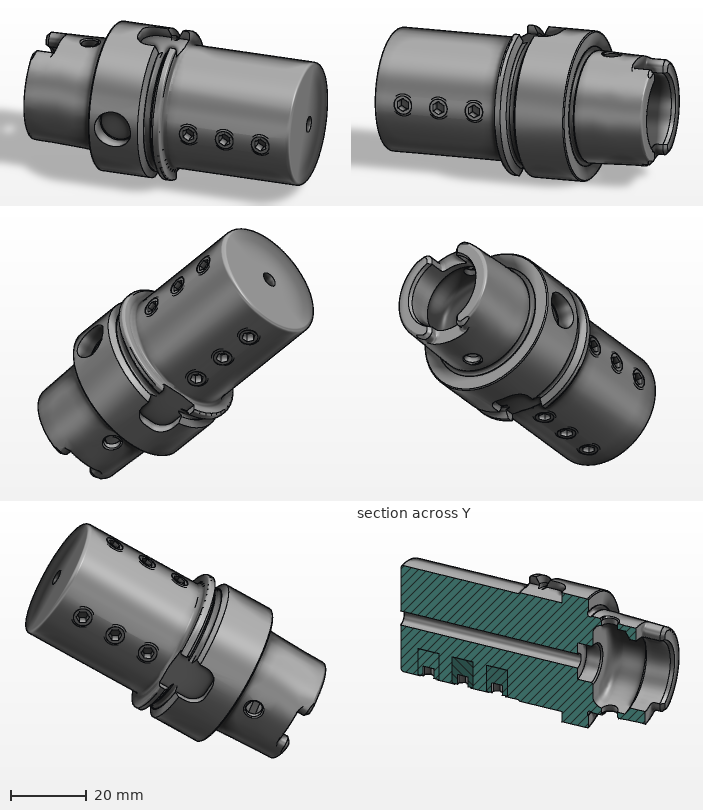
import cadquery as cq
import math

total_length = 74.9
flange_face_x = 20.0
flange_radius = 20.0
edge_break = 0.3
cutter_reach = 29.95

taper_tip_radius = 14.4
taper_end_x = 18.0
taper_end_radius = 15.0
tip_fillet = 0.8
relief_start_x = 18.95
relief_end_x = 19.3
relief_radius = 14.7
face_recess_radius = 15.95
face_recess_depth = 0.2
recess_fillet = 0.6

groove_left_x = 33.8
groove_right_x = 38.0
groove_floor_radius = 17.3
groove_flank_run = 1.05
groove_flank_angle = 60.0
groove_floor_fillet = 0.6
flange_end_x = 39.8
flange_end_fillet = 0.7

body_radius = 16.5
body_root_fillet = 1.1
body_end_fillet = 1.0

bore_radius = 10.5
bore_mouth_radius = 10.9
bore_mouth_chamfer_length = 1.05
clamping_recess_x = 8.0
clamping_recess_radius = 12.7
clamping_shoulder_angle = 60.0
clamping_recess_end_x = 15.7
bore_floor_fillet = 2.9
counterbore_radius = 5.55
counterbore_mouth_radius = 6.0
counterbore_depth = 4.5
coolant_radius = 2.1

slot_half_width = 4.0
slot_wall_top = 10.85
slot_round = 2.0
slot_shoulder_slope = 20.0
slot_mouth_chamfer = 1.0
slot_end_fillet = 0.9
upper_slot_depth = 6.1
lower_slot_depth = 3.4
slot_bottom = 6.75
slot_cutter_half_width = 10.5
slot_cutter_top = 18.0

shank_hole_x = 13.85
shank_hole_radius = 2.25
shank_sink_radius = 2.8
shank_sink_depth = 0.5

keyway_start_x = 27.9
keyway_half_width = 5.5
keyway_corner_radius = 4.0
keyway_floor = 16.85

data_hole_x = 26.8
data_hole_radius = 5.0
data_hole_depth = 5.0
data_hole_chamfer = 0.2

first_screw_x = 46.75
screw_pitch = 10.0
screws_per_row = 3
screw_row_angles = (0, 90, 180)
screw_radius = 3.0
screw_face_radius = 2.5
screw_face_distance = 16.25
screw_chamfer_height = 0.2
screw_length = 8.0
hex_across_flats = 3.0
hex_depth = 3.0


def turned_blank():
    """Outside shape of the housing, revolved about the X axis."""
    flank_drop = groove_flank_run * math.tan(math.radians(groove_flank_angle))
    flank_radius = flange_radius - flank_drop
    groove_wall_left = groove_left_x + groove_flank_run
    groove_wall_right = groove_right_x - groove_flank_run
    fillet_top = groove_floor_radius + groove_floor_fillet
    recess_x = flange_face_x + face_recess_depth
    recess_root_radius = relief_radius + recess_fillet
    diagonal = math.sqrt(0.5)

    profile = (
        cq.Workplane("XY")
        .moveTo(0, 0)
        .lineTo(0, taper_tip_radius - tip_fillet)
        .threePointArc(
            (tip_fillet * (1 - diagonal), taper_tip_radius - tip_fillet * (1 - diagonal)),
            (tip_fillet, taper_tip_radius),
        )
        .lineTo(taper_end_x, taper_end_radius)
        .lineTo(relief_start_x, taper_end_radius)
        .lineTo(relief_end_x, relief_radius)
        .lineTo(recess_x - recess_fillet, relief_radius)
        .threePointArc(
            (recess_x - recess_fillet * (1 - diagonal), relief_radius + recess_fillet * (1 - diagonal)),
            (recess_x, recess_root_radius),
        )
        .lineTo(recess_x, face_recess_radius)
        .lineTo(flange_face_x, face_recess_radius)
        .lineTo(flange_face_x, flange_radius - edge_break)
        .lineTo(flange_face_x + edge_break, flange_radius)
        .lineTo(groove_left_x, flange_radius)
        .lineTo(groove_wall_left, flank_radius)
        .lineTo(groove_wall_left, fillet_top)
        .radiusArc((groove_wall_left + groove_floor_fillet, groove_floor_radius), -groove_floor_fillet)
        .lineTo(groove_wall_right - groove_floor_fillet, groove_floor_radius)
        .radiusArc((groove_wall_right, fillet_top), -groove_floor_fillet)
        .lineTo(groove_wall_right, flank_radius)
        .lineTo(groove_right_x, flange_radius)
        .lineTo(flange_end_x - flange_end_fillet, flange_radius)
        .radiusArc((flange_end_x, flange_radius - flange_end_fillet), flange_end_fillet)
        .lineTo(flange_end_x, body_radius + body_root_fillet)
        .radiusArc((flange_end_x + body_root_fillet, body_radius), -body_root_fillet)
        .lineTo(total_length - body_end_fillet, body_radius)
        .radiusArc((total_length, body_radius - body_end_fillet), body_end_fillet)
        .lineTo(total_length, 0)
        .close()
    )
    return profile.revolve(360, (0, 0, 0), (1, 0, 0))


def stepped_bore():
    """Shank bore, counterbore and coolant passage as one turned cutter."""
    shoulder_run = (clamping_recess_radius - bore_radius) / math.tan(math.radians(clamping_shoulder_angle))
    bore_depth = clamping_recess_end_x + bore_floor_fillet
    counterbore_chamfer = counterbore_mouth_radius - counterbore_radius
    counterbore_floor_x = bore_depth + counterbore_depth
    profile = (
        cq.Workplane("XY")
        .moveTo(0, 0)
        .lineTo(0, bore_mouth_radius)
        .lineTo(bore_mouth_chamfer_length, bore_radius)
        .lineTo(clamping_recess_x, bore_radius)
        .lineTo(clamping_recess_x + shoulder_run, clamping_recess_radius)
        .lineTo(clamping_recess_end_x, clamping_recess_radius)
        .radiusArc((bore_depth, clamping_recess_radius - bore_floor_fillet), bore_floor_fillet)
        .lineTo(bore_depth, counterbore_mouth_radius)
        .lineTo(bore_depth + counterbore_chamfer, counterbore_radius)
        .lineTo(counterbore_floor_x, counterbore_radius)
        .lineTo(counterbore_floor_x, coolant_radius)
        .lineTo(total_length, coolant_radius)
        .lineTo(total_length, 0)
        .close()
    )
    return profile.revolve(360, (0, 0, 0), (1, 0, 0))


def slot_outline(workplane, widening):
    """Slot cross-section with rounded shoulders, its walls moved outward by `widening`."""
    wall = slot_half_width + widening
    center_y = slot_half_width + slot_round
    radius = slot_round - widening
    slope = math.radians(slot_shoulder_slope)
    arc_top = (center_y, slot_wall_top + radius)
    arc_end_y = center_y + radius * math.sin(slope)
    arc_end_z = slot_wall_top + radius * math.cos(slope)
    outer_y = slot_cutter_half_width
    outer_z = arc_end_z - (outer_y - arc_end_y) * math.tan(slope)
    return (
        workplane.moveTo(-wall, slot_bottom)
        .lineTo(wall, slot_bottom)
        .lineTo(wall, slot_wall_top)
        .threePointArc(arc_top, (arc_end_y, arc_end_z))
        .lineTo(outer_y, outer_z)
        .lineTo(outer_y, slot_cutter_top)
        .lineTo(-outer_y, slot_cutter_top)
        .lineTo(-outer_y, outer_z)
        .lineTo(-arc_end_y, arc_end_z)
        .threePointArc((-center_y, slot_wall_top + radius), (-wall, slot_wall_top))
        .close()
    )


def drive_slot(depth):
    """Cutter for the drive slot on the +Z side: filleted end, chamfered mouth."""
    slot = slot_outline(cq.Workplane("YZ"), 0).extrude(depth)
    slot = slot.faces(">X").edges().fillet(slot_end_fillet)
    mouth = slot_outline(cq.Workplane("YZ"), slot_mouth_chamfer)
    mouth = slot_outline(mouth.workplane(offset=slot_mouth_chamfer), 0).loft(ruled=True)
    return slot.union(mouth)


def shank_hole():
    """Countersunk radial hole from the bore out through the +Z side of the shank."""
    surface_radius = taper_tip_radius + (taper_end_radius - taper_tip_radius) * shank_hole_x / taper_end_x
    drill = cq.Workplane("XY").center(shank_hole_x, 0).circle(shank_hole_radius).extrude(cutter_reach)
    sink = (
        cq.Workplane("XY", origin=(shank_hole_x, 0, surface_radius - shank_sink_depth))
        .circle(shank_hole_radius)
        .workplane(offset=shank_sink_depth)
        .circle(shank_sink_radius)
        .loft(ruled=True)
    )
    return drill.union(sink)


def keyway():
    """Flat-bottomed keyway on the +Z side, open toward the body behind the flange."""
    length = flange_end_x + body_root_fillet - keyway_start_x
    return (
        cq.Workplane("XY", origin=(keyway_start_x, 0, keyway_floor))
        .rect(length, 2 * keyway_half_width)
        .extrude(cutter_reach)
        .translate((length / 2, 0, 0))
        .edges("|Z and <X")
        .fillet(keyway_corner_radius)
    )


def data_carrier_hole():
    """Flat-bottomed hole in the -Y side of the flange, with a small chamfer round the floor."""
    floor_distance = flange_radius - data_hole_depth
    return (
        cq.Workplane("XZ", origin=(data_hole_x, 0, 0))
        .workplane(offset=floor_distance)
        .circle(data_hole_radius)
        .extrude(cutter_reach)
        .faces(">Y")
        .chamfer(data_hole_chamfer)
    )


def screw_blank():
    """Set screw on the -Y side without its socket: a cylinder with a shallow conical outer end."""
    cylinder_end = screw_face_distance - screw_chamfer_height
    inner_end = screw_face_distance - screw_length
    profile = (
        cq.Workplane("XY")
        .moveTo(0, -inner_end)
        .lineTo(screw_radius, -inner_end)
        .lineTo(screw_radius, -cylinder_end)
        .lineTo(screw_face_radius, -screw_face_distance)
        .lineTo(0, -screw_face_distance)
        .close()
    )
    return profile.revolve(360, (0, 0, 0), (0, 1, 0))


def set_screw():
    """Set screw with a hexagon socket whose corners point along Z."""
    corner_diameter = hex_across_flats / math.cos(math.radians(30))
    socket = (
        cq.Workplane("XZ")
        .workplane(offset=screw_face_distance - hex_depth)
        .transformed(rotate=(0, 0, 90))
        .polygon(6, corner_diameter)
        .extrude(hex_depth)
    )
    return screw_blank().cut(socket)


def screw_hole():
    """Seat of a set screw: its own envelope plus the opening over its end face."""
    opening = (
        cq.Workplane("XZ")
        .workplane(offset=screw_face_distance - screw_chamfer_height)
        .circle(screw_face_radius)
        .extrude(cutter_reach)
    )
    return screw_blank().union(opening)


def at_screw_positions(shape):
    """Copies of a shape made on the -Y side, one at every screw position."""
    copies = []
    for angle in screw_row_angles:
        for index in range(screws_per_row):
            x = first_screw_x + index * screw_pitch
            copies.append(shape.translate((x, 0, 0)).rotate((0, 0, 0), (1, 0, 0), angle))
    return copies


def on_opposite_side(shape):
    """The same shape turned half a turn about the X axis."""
    return shape.rotate((0, 0, 0), (1, 0, 0), 180)


housing = turned_blank().cut(stepped_bore())
housing = housing.cut(drive_slot(upper_slot_depth))
housing = housing.cut(on_opposite_side(drive_slot(lower_slot_depth)))
for cutter in (shank_hole(), keyway()):
    housing = housing.cut(cutter).cut(on_opposite_side(cutter))
housing = housing.cut(data_carrier_hole())
for hole in at_screw_positions(screw_hole()):
    housing = housing.cut(hole)

screws = at_screw_positions(set_screw())

result = cq.Compound.makeCompound([housing.val(), *[screw.val() for screw in screws]])